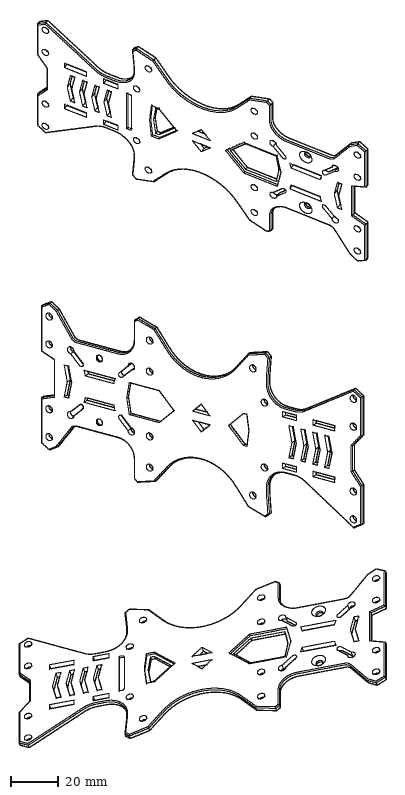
import cadquery as cq
import math


THICKNESS = 2.5
EDGE_CHAMFER = 0.5
LENGTH = 161.28
HEIGHT = 77.27
LEFT_END = -LENGTH / 2
RIGHT_END = LENGTH / 2
HALF_HEIGHT = HEIGHT / 2

LEFT_NOTCH_X = -76.0
LEFT_NOTCH_FLOOR_HALF = 6.0
LEFT_NOTCH_MOUTH_HALF = 11.7
LEFT_EAR_SIDE_TOP = 30.0
LEFT_EAR_TIP = (-76.6, 32.6)
LEFT_NECK_HALF = 15.4
LEFT_NECK_START = -49.6
LEFT_NECK_END = -42.5
LEFT_NECK_RADIUS = 9.2

LEFT_WING_ROOT = (-33.35, 27.6)
LEFT_WING_CORNER = (-34.1, 36.8)
LEFT_WING_TIP_X = -32.1
WING_SHOULDER = (23.5, 36.0)
RIGHT_WING_TIP_X = 32.3
RIGHT_WING_SIDE_X = 34.0
RIGHT_WING_CORNER_Z = 37.2
WAIST_HALF = 19.6
WAIST_END = (17.35, 28.3)

RIGHT_NECK_HALF = 20.1
RIGHT_NECK_RADIUS = 7.9
RIGHT_NECK_END = 64.2
RIGHT_NECK_BEND_RADIUS = 3.0
RIGHT_EAR_BEND = (72.7, 32.2)
RIGHT_EAR_TIP = (76.6, 34.7)
RIGHT_EAR_SIDE_TOP = 32.3
RIGHT_NOTCH_X = 74.25
RIGHT_NOTCH_FLOOR_HALF = 8.5
RIGHT_NOTCH_MOUTH_HALF = 10.9

HOLE_DIAMETER = 3.2
EAR_HOLE_X = 76.6
EAR_HOLE_OUTER_Z = 28.35
INNER_HOLE_Z = 15.25
WING_HOLE_X = 26.0
WING_HOLE_Z = 29.9
LEFT_INNER_HOLE_X = -31.8

SCREW_DIAMETER = 3.05
SCREW_HEAD_DIAMETER = 6.1
SCREW_HEAD_ANGLE = 90.0
SCREW_X = 51.3
SCREW_Z = 15.0

PATTERN_CENTER_X = 50.5
LARGE_PATTERN = 30.5
SMALL_PATTERN = 20.0
KEYHOLE_SLOT_WIDTH = 2.2

STRAP_SLOT_BOTTOM = 10.9
STRAP_SLOT_TOP = 13.35
STRAP_SLOTS_X = ((-67.2, -56.4), (-47.9, -41.0))
TAPER_SLOT_CENTER_X = 51.2
TAPER_SLOT_OUTER_HALF = 7.75
TAPER_SLOT_INNER_HALF = 7.15
TAPER_SLOT_INNER_Z = 5.1

OPENING_HALF = 7.5
CHEVRON_WIDTH = 2.1
CHEVRON_SWEEP = 1.55
LEFT_CHEVRON_X = -65.8
CHEVRON_PITCH = 6.0
CHEVRON_COUNT = 4
RIGHT_CHEVRON_X = 65.3

GROOVE_LEFT = -36.6
GROOVE_RIGHT = -34.2
GROOVE_HALF = 10.5
GROOVE_DEPTH = 1.0
GROOVE_CORNER_RADIUS = 1.0

TRIANGLE_BASE_Z = 2.15
TRIANGLE_HALF_BASE = 4.35

WINDOW_LEDGE_DEPTH = 1.0
WINDOW_LEDGE_HALF = 9.0
LEFT_WINDOW_X = (-24.0, -22.95, -13.75)
LEFT_LEDGE_X = (-25.4, -24.5, -11.9)
RIGHT_WINDOW_X = (37.5, 36.2, 13.7)
RIGHT_LEDGE_X = (39.1, 37.2, 11.9)

MIRRORED = (1, -1)


def prism(sketch, depth):
    """Extrude an XZ sketch from the front face toward +Y."""
    return sketch.extrude(-depth)


def polygon_cut(points, depth=THICKNESS):
    return prism(cq.Workplane("XZ").polyline(points).close(), depth)


def corner_tangents(before, corner, after, radius):
    """Start, middle and end of the arc rounding a corner between two straight lines."""
    to_before = cq.Vector(*before).sub(cq.Vector(*corner)).normalized()
    to_after = cq.Vector(*after).sub(cq.Vector(*corner)).normalized()
    half_angle = to_before.getAngle(to_after) / 2
    reach = radius / math.tan(half_angle)
    bisector = to_before.add(to_after).normalized()
    vertex = cq.Vector(*corner)
    start = vertex.add(to_before.multiply(reach))
    end = vertex.add(to_after.multiply(reach))
    middle = vertex.add(bisector.multiply(radius / math.sin(half_angle) - radius))
    return [(point.x, point.y) for point in (start, middle, end)]


def make_plate():
    """Upper half of the outline, mirrored to the full plate, with all rim edges chamfered."""
    shoulder_x, shoulder_z = WING_SHOULDER
    waist_end_x, waist_end_z = WAIST_END
    left_bend = corner_tangents(
        LEFT_EAR_TIP,
        (LEFT_NECK_START, LEFT_NECK_HALF),
        (LEFT_NECK_END, LEFT_NECK_HALF),
        LEFT_NECK_RADIUS,
    )
    right_bend = corner_tangents(
        (RIGHT_WING_SIDE_X, RIGHT_NECK_HALF),
        (RIGHT_NECK_END, RIGHT_NECK_HALF),
        RIGHT_EAR_BEND,
        RIGHT_NECK_BEND_RADIUS,
    )
    neck_end_z = LEFT_NECK_HALF + LEFT_NECK_RADIUS
    neck_side_x = LEFT_NECK_END + LEFT_NECK_RADIUS
    upper_half = (
        cq.Workplane("XZ")
        .moveTo(LEFT_NOTCH_X, 0)
        .lineTo(LEFT_NOTCH_X, LEFT_NOTCH_FLOOR_HALF)
        .lineTo(LEFT_END, LEFT_NOTCH_MOUTH_HALF)
        .lineTo(LEFT_END, LEFT_EAR_SIDE_TOP)
        .lineTo(*LEFT_EAR_TIP)
        .lineTo(*left_bend[0])
        .threePointArc(left_bend[1], left_bend[2])
        .lineTo(LEFT_NECK_END, LEFT_NECK_HALF)
        .radiusArc((neck_side_x, neck_end_z), -LEFT_NECK_RADIUS)
        .lineTo(*LEFT_WING_ROOT)
        .lineTo(*LEFT_WING_CORNER)
        .lineTo(LEFT_WING_TIP_X, HALF_HEIGHT)
        .lineTo(-shoulder_x, shoulder_z)
        .lineTo(-waist_end_x, waist_end_z)
        .threePointArc((0, WAIST_HALF), (waist_end_x, waist_end_z))
        .lineTo(shoulder_x, shoulder_z)
        .lineTo(RIGHT_WING_TIP_X, HALF_HEIGHT)
        .lineTo(RIGHT_WING_SIDE_X, RIGHT_WING_CORNER_Z)
        .lineTo(RIGHT_WING_SIDE_X, RIGHT_NECK_HALF + RIGHT_NECK_RADIUS)
        .radiusArc((RIGHT_WING_SIDE_X + RIGHT_NECK_RADIUS, RIGHT_NECK_HALF), -RIGHT_NECK_RADIUS)
        .lineTo(*right_bend[0])
        .threePointArc(right_bend[1], right_bend[2])
        .lineTo(*RIGHT_EAR_BEND)
        .lineTo(*RIGHT_EAR_TIP)
        .lineTo(RIGHT_END, RIGHT_EAR_SIDE_TOP)
        .lineTo(RIGHT_END, RIGHT_NOTCH_MOUTH_HALF)
        .lineTo(RIGHT_NOTCH_X, RIGHT_NOTCH_FLOOR_HALF)
        .lineTo(RIGHT_NOTCH_X, 0)
        .close()
    )
    half_plate = prism(upper_half, THICKNESS)
    plate = half_plate.union(half_plate.mirror("XY")).clean()
    return plate.faces("<Y or >Y").edges().chamfer(EDGE_CHAMFER)


def round_holes():
    centers = []
    for side in MIRRORED:
        for x in (-EAR_HOLE_X, EAR_HOLE_X):
            centers.append((x, side * EAR_HOLE_OUTER_Z))
            centers.append((x, side * INNER_HOLE_Z))
        for x in (-WING_HOLE_X, WING_HOLE_X):
            centers.append((x, side * WING_HOLE_Z))
        centers.append((LEFT_INNER_HOLE_X, side * INNER_HOLE_Z))
        centers.append((WING_HOLE_X, side * INNER_HOLE_Z))
    return prism(cq.Workplane("XZ").pushPoints(centers).circle(HOLE_DIAMETER / 2), THICKNESS)


def cut_screw_holes(plate):
    centers = [(SCREW_X, side * SCREW_Z) for side in MIRRORED]
    return (
        plate.copyWorkplane(cq.Workplane("XZ"))
        .pushPoints(centers)
        .cskHole(SCREW_DIAMETER, SCREW_HEAD_DIAMETER, SCREW_HEAD_ANGLE)
    )


def keyhole_slot(x_side, z_side):
    outer = LARGE_PATTERN / 2
    inner = SMALL_PATTERN / 2
    middle = (outer + inner) / 2
    slot_length = (outer - inner) * math.sqrt(2) + KEYHOLE_SLOT_WIDTH
    tilt = 45 * x_side * z_side
    eye = (
        cq.Workplane("XZ")
        .center(PATTERN_CENTER_X + x_side * outer, z_side * outer)
        .circle(HOLE_DIAMETER / 2)
    )
    slot = (
        cq.Workplane("XZ")
        .center(PATTERN_CENTER_X + x_side * middle, z_side * middle)
        .slot2D(slot_length, KEYHOLE_SLOT_WIDTH, tilt)
    )
    return prism(eye, THICKNESS).union(prism(slot, THICKNESS))


def strap_slot(left, right, side):
    bottom = side * STRAP_SLOT_BOTTOM
    top = side * STRAP_SLOT_TOP
    return polygon_cut([(left, bottom), (right, bottom), (right, top), (left, top)])


def tapered_slot(side):
    outer_z = side * OPENING_HALF
    inner_z = side * TAPER_SLOT_INNER_Z
    return polygon_cut([
        (TAPER_SLOT_CENTER_X - TAPER_SLOT_OUTER_HALF, outer_z),
        (TAPER_SLOT_CENTER_X + TAPER_SLOT_OUTER_HALF, outer_z),
        (TAPER_SLOT_CENTER_X + TAPER_SLOT_INNER_HALF, inner_z),
        (TAPER_SLOT_CENTER_X - TAPER_SLOT_INNER_HALF, inner_z),
    ])


def chevron_slot(apex_x):
    """Bent slot pointing toward -X; apex_x is its leftmost point."""
    end_x = apex_x + CHEVRON_SWEEP
    return polygon_cut([
        (apex_x, 0),
        (end_x, OPENING_HALF),
        (end_x + CHEVRON_WIDTH, OPENING_HALF),
        (apex_x + CHEVRON_WIDTH, 0),
        (end_x + CHEVRON_WIDTH, -OPENING_HALF),
        (end_x, -OPENING_HALF),
    ])


def blind_groove():
    width = GROOVE_RIGHT - GROOVE_LEFT
    groove = prism(
        cq.Workplane("XZ").center((GROOVE_LEFT + GROOVE_RIGHT) / 2, 0).rect(width, 2 * GROOVE_HALF),
        GROOVE_DEPTH,
    )
    return groove.edges("|Y and >X").fillet(GROOVE_CORNER_RADIUS)


def triangle_opening(side):
    return polygon_cut([
        (-TRIANGLE_HALF_BASE, side * TRIANGLE_BASE_Z),
        (TRIANGLE_HALF_BASE, side * TRIANGLE_BASE_Z),
        (0, side * (TRIANGLE_BASE_Z + TRIANGLE_HALF_BASE)),
    ])


def window(outline_x, half_height, depth):
    """Arrow-shaped opening: a bent back, two straight sides and a 45 degree point."""
    back_x, corner_x, point_x = outline_x
    toward_back = math.copysign(1, back_x - point_x)
    shoulder_x = point_x + toward_back * half_height
    return polygon_cut([
        (back_x, 0),
        (corner_x, half_height),
        (shoulder_x, half_height),
        (point_x, 0),
        (shoulder_x, -half_height),
        (corner_x, -half_height),
    ], depth)


def stepped_windows():
    windows = []
    for opening_x, ledge_x in ((LEFT_WINDOW_X, LEFT_LEDGE_X), (RIGHT_WINDOW_X, RIGHT_LEDGE_X)):
        windows.append(window(opening_x, OPENING_HALF, THICKNESS))
        windows.append(window(ledge_x, WINDOW_LEDGE_HALF, WINDOW_LEDGE_DEPTH))
    return windows


cutters = [round_holes(), blind_groove()]
cutters.extend(stepped_windows())
cutters.append(chevron_slot(RIGHT_CHEVRON_X))
for index in range(CHEVRON_COUNT):
    cutters.append(chevron_slot(LEFT_CHEVRON_X + index * CHEVRON_PITCH))
for z_side in MIRRORED:
    cutters.append(tapered_slot(z_side))
    cutters.append(triangle_opening(z_side))
    for slot_left, slot_right in STRAP_SLOTS_X:
        cutters.append(strap_slot(slot_left, slot_right, z_side))
    for x_side in MIRRORED:
        cutters.append(keyhole_slot(x_side, z_side))

plate = make_plate()
for cutter in cutters:
    plate = plate.cut(cutter)
result = cut_screw_holes(plate)